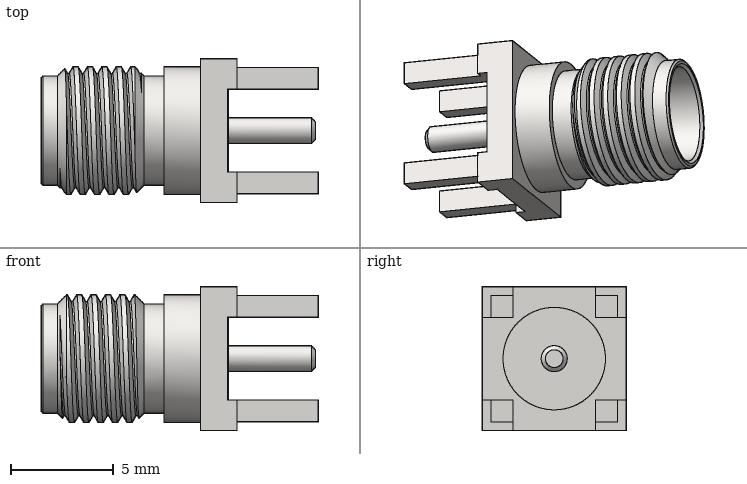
import cadquery as cq
import math

total_length = 13.47
flange_front = 7.73
notch_floor = 9.05
insulator_back = 9.1
flange_back = 9.52
pin_tip = 13.34

flange_side = 7
leg_outer = 3.07
leg_inner = 2.01

barrel_radius = 2.67
collar_radius = 3.11
collar_front = 5.97
bore_radius = 2.3
bore_depth = 1.9
mouth_outer_chamfer = 0.1
mouth_inner_chamfer = 0.13

insulator_radius = 2.49

thread_front = 0.8
thread_back = 5.0
thread_radius = collar_radius
thread_cone = thread_radius - barrel_radius
thread_pitch = 0.7
thread_root_radius = 2.79
thread_root_flat = 0.08
thread_flank_angle = 30
groove_start = 0.45
groove_turns = 7
groove_clearance = 0.13

pin_radius = 0.63
pin_chamfer = 0.2


def make_barrel():
    """Turned barrel, from the mouth to the flange, with its bore and an uncut thread crest."""
    outline = [
        (0, 0),
        (0, barrel_radius),
        (thread_front, barrel_radius),
        (thread_front + thread_cone, thread_radius),
        (thread_back - thread_cone, thread_radius),
        (thread_back, barrel_radius),
        (collar_front, barrel_radius),
        (collar_front, collar_radius),
        (flange_front, collar_radius),
        (flange_front, 0),
    ]
    barrel = cq.Workplane("XZ").polyline(outline).close().revolve(360, (0, 0), (1, 0))
    barrel = barrel.faces("<X").chamfer(mouth_outer_chamfer)
    bore = cq.Workplane("YZ").circle(bore_radius).extrude(bore_depth)
    countersink = cq.Solid.makeCone(
        bore_radius + mouth_inner_chamfer,
        bore_radius,
        mouth_inner_chamfer,
        pnt=cq.Vector(0, 0, 0),
        dir=cq.Vector(1, 0, 0),
    )
    return barrel.cut(bore).cut(cq.Workplane(countersink))


def make_groove_turn():
    """One right-handed turn of the V groove, starting and ending below the axis."""
    outer_radius = thread_radius + groove_clearance
    root_half = thread_root_flat / 2
    flank_run = (outer_radius - thread_root_radius) * math.tan(math.radians(thread_flank_angle))
    outer_half = root_half + flank_run
    helix = cq.Wire.makeHelix(thread_pitch, thread_pitch, thread_root_radius)
    profile = cq.Workplane("XZ").polyline([
        (thread_root_radius, -root_half),
        (thread_root_radius, root_half),
        (outer_radius, outer_half),
        (outer_radius, -outer_half),
    ]).close()
    turn = profile.sweep(cq.Workplane(helix), isFrenet=True)
    return turn.rotate((0, 0, 0), (0, 1, 0), 90)


def cut_thread(barrel):
    """Cut the groove turn by turn, so that it runs out past both thread cones."""
    turn = make_groove_turn()
    for index in range(groove_turns):
        barrel = barrel.cut(turn.translate((groove_start + index * thread_pitch, 0, 0)), clean=False)
    return barrel


def make_flange():
    """Square flange whose back is notched by a cross, leaving a pad at each corner."""
    flange = cq.Workplane("YZ", origin=(flange_front, 0, 0)).rect(flange_side, flange_side)
    flange = flange.extrude(flange_back - flange_front)
    for width, height in [(2 * leg_inner, flange_side), (flange_side, 2 * leg_inner)]:
        notch = cq.Workplane("YZ", origin=(notch_floor, 0, 0)).rect(width, height)
        flange = flange.cut(notch.extrude(flange_back - notch_floor))
    return flange


def make_leg(side_y, side_z):
    """Square leg standing on one corner pad, flush with the pad's inner faces."""
    width = leg_outer - leg_inner
    middle = (leg_outer + leg_inner) / 2
    leg = cq.Workplane("YZ", origin=(flange_back, side_y * middle, side_z * middle))
    return leg.rect(width, width).extrude(total_length - flange_back)


def make_insulator():
    """Plain cylinder from the bottom of the bore to just behind the notch floor."""
    insulator = cq.Workplane("YZ", origin=(bore_depth, 0, 0)).circle(insulator_radius)
    return insulator.extrude(insulator_back - bore_depth)


def make_housing():
    """Threaded barrel, flange and legs in one piece, hollowed for the insulator."""
    housing = cut_thread(make_barrel()).union(make_flange())
    for side_y in (-1, 1):
        for side_z in (-1, 1):
            housing = housing.union(make_leg(side_y, side_z))
    return housing.cut(make_insulator())


def make_pin():
    """Contact pin standing on the back face of the insulator, with a chamfered tip."""
    pin = cq.Workplane("YZ", origin=(insulator_back, 0, 0)).circle(pin_radius)
    return pin.extrude(pin_tip - insulator_back).faces(">X").chamfer(pin_chamfer)


housing = make_housing()
insulator = make_insulator()
pin = make_pin()
result = cq.Compound.makeCompound([housing.val(), insulator.val(), pin.val()])